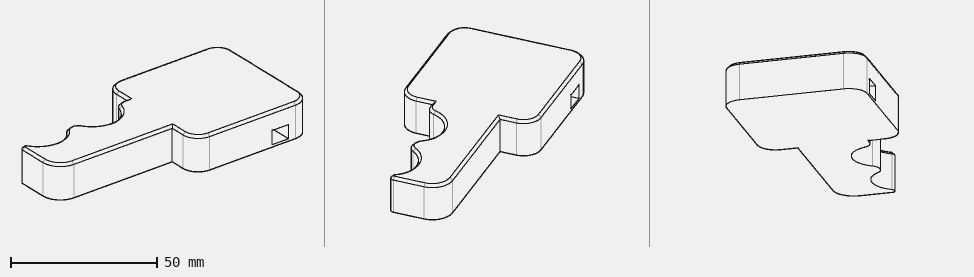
import cadquery as cq
import math

total_length = 100.0
thickness = 14.0
head_size = 50.0
head_corner_radius = 6.5
top_chamfer = 1.0

handle_width = 25.0
handle_corner_radius = 7.5
handle_length = total_length - head_size
left = -handle_width / 2
right = handle_width / 2

grip_radius = 10.0
lower_grip_y = 11.2
grip_spacing = 23.5
upper_grip_y = lower_grip_y + grip_spacing
grip_blend_radius = 4.0
tip_radius = 1.5

window_length = 7.0
window_height = 5.5
window_floor = 1.0
window_from_head_end = 9.5


def blend_to_grip(blend_x, blend_y, blend_radius, grip_y):
    """Tangent point between an outward rounding and a finger scallop."""
    share = blend_radius / (grip_radius + blend_radius)
    return (blend_x + share * (left - blend_x), blend_y + share * (grip_y - blend_y))


def grip_bottom(grip_y):
    """Deepest point of a finger scallop."""
    return (left + grip_radius, grip_y)


def make_head():
    return (
        cq.Workplane("XY")
        .center(0, handle_length + head_size / 2)
        .rect(head_size, head_size)
        .extrude(thickness)
        .edges("|Z")
        .fillet(head_corner_radius)
    )


def make_handle():
    shoulder_x = left + grip_blend_radius
    shoulder_y = upper_grip_y + math.sqrt((grip_radius + grip_blend_radius) ** 2 - grip_blend_radius**2)
    shoulder_end = blend_to_grip(shoulder_x, shoulder_y, grip_blend_radius, upper_grip_y)

    ridge_y = (lower_grip_y + upper_grip_y) / 2
    ridge_x = left + math.sqrt((grip_radius + grip_blend_radius) ** 2 - (grip_spacing / 2) ** 2)
    ridge_top = blend_to_grip(ridge_x, ridge_y, grip_blend_radius, upper_grip_y)
    ridge_peak = (ridge_x - grip_blend_radius, ridge_y)
    ridge_bottom = blend_to_grip(ridge_x, ridge_y, grip_blend_radius, lower_grip_y)

    tip_x = left + math.sqrt((grip_radius + tip_radius) ** 2 - (lower_grip_y - tip_radius) ** 2)
    tip_start = blend_to_grip(tip_x, tip_radius, tip_radius, lower_grip_y)
    tip_side = (tip_x - tip_radius, tip_radius)

    root_y = handle_length + head_corner_radius
    return (
        cq.Workplane("XY")
        .moveTo(right, root_y)
        .lineTo(left, root_y)
        .lineTo(left, shoulder_y)
        .tangentArcPoint(shoulder_end, relative=False)
        .threePointArc(grip_bottom(upper_grip_y), ridge_top)
        .threePointArc(ridge_peak, ridge_bottom)
        .threePointArc(grip_bottom(lower_grip_y), tip_start)
        .threePointArc(tip_side, (tip_x, 0))
        .lineTo(right - handle_corner_radius, 0)
        .tangentArcPoint((right, handle_corner_radius), relative=False)
        .close()
        .extrude(thickness)
    )


def make_window():
    window_y = total_length - window_from_head_end - window_length
    return (
        cq.Workplane("XY")
        .box(head_size, window_length, window_height, centered=(True, False, False))
        .translate((0, window_y, window_floor))
    )


body = make_head().union(make_handle()).faces(">Z").chamfer(top_chamfer)
result = body.cut(make_window())